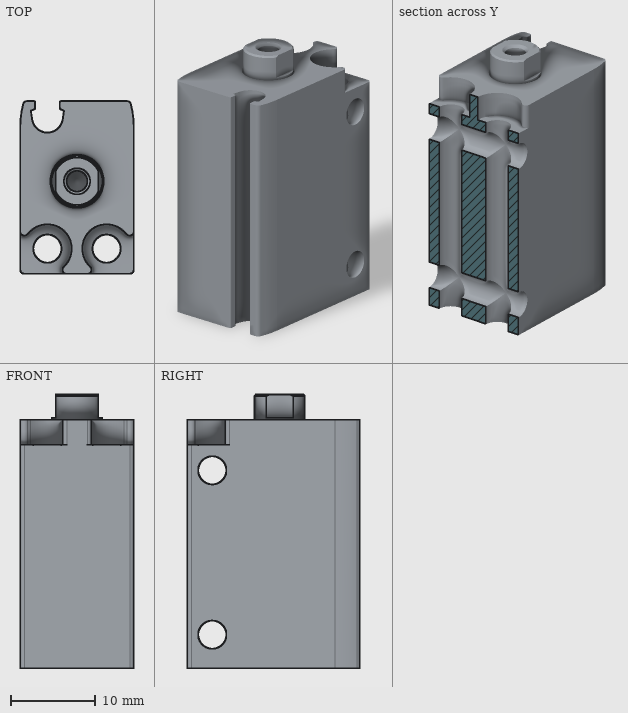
import cadquery as cq
import math

width = 13.5
total_height = 32.5
rod_stick_out = 3.0
housing_height = total_height - rod_stick_out
front_y = -11.0
back_y = 9.52
half_width = width / 2
corner_radius = 0.5
crown_radius = 10.0
crown_length = 3.0

hole_diameter = 3.3
hole_x = 3.5
hole_y = front_y + 3.0
cross_hole_heights = (4.0, housing_height - 6.0)
pocket_radius = 2.9
pocket_depth = 3.0

slot_x = -3.5
slot_radius = 1.82
slot_center_depth = 1.92
slot_mouth_half = 1.45
slot_lip_depth = 0.95
slot_shoulder_half = 1.95
slot_shoulder_depth = 1.17
slot_edge_radius = 0.15

rod_diameter = 6.0
rod_insertion = 10.0
rod_flat_width = 5.07
rod_flat_base = 0.23
rod_chamfer = 0.2
bore_chamfer = 0.15
thread_diameter = 2.47
thread_depth = 6.0
thread_chamfer = 0.32
drill_tip_angle = 118.0


def housing_block():
    """Block with rounded front corners and side walls curving in at the back."""
    crown_start = back_y - crown_length
    crown_inset = crown_radius - math.sqrt(crown_radius**2 - crown_length**2)
    half_length = crown_length / 2
    middle_inset = crown_radius - math.sqrt(crown_radius**2 - half_length**2)
    crown_middle = (half_width - middle_inset, crown_start + half_length)
    crown_end = (half_width - crown_inset, back_y)
    return (
        cq.Workplane("XY")
        .moveTo(-half_width, front_y)
        .lineTo(half_width, front_y)
        .lineTo(half_width, crown_start)
        .threePointArc(crown_middle, crown_end)
        .lineTo(-crown_end[0], back_y)
        .threePointArc((-crown_middle[0], crown_middle[1]), (-half_width, crown_start))
        .close()
        .extrude(housing_height)
        .edges("|Z and (<Y or >Y)")
        .fillet(corner_radius)
    )


def sensor_slot():
    """Round-bottomed slot with a narrower mouth between two lips."""
    center_y = back_y - slot_center_depth
    lip_y = back_y - slot_lip_depth
    shoulder_y = back_y - slot_shoulder_depth
    shoulder_rise = shoulder_y - center_y
    shoulder_distance = math.hypot(slot_shoulder_half, shoulder_rise)
    shoulder_angle = math.atan2(shoulder_rise, slot_shoulder_half)
    tangent_angle = shoulder_angle - math.acos(slot_radius / shoulder_distance)
    tangent_half = slot_radius * math.cos(tangent_angle)
    tangent_y = center_y + slot_radius * math.sin(tangent_angle)
    return (
        cq.Workplane("XY")
        .moveTo(slot_x - slot_mouth_half, back_y)
        .lineTo(slot_x - slot_mouth_half, lip_y)
        .lineTo(slot_x - slot_shoulder_half, shoulder_y)
        .lineTo(slot_x - tangent_half, tangent_y)
        .threePointArc((slot_x, center_y - slot_radius), (slot_x + tangent_half, tangent_y))
        .lineTo(slot_x + slot_shoulder_half, shoulder_y)
        .lineTo(slot_x + slot_mouth_half, lip_y)
        .lineTo(slot_x + slot_mouth_half, back_y)
        .close()
        .extrude(housing_height)
    )


def round_slot_lips(body):
    """Round the lip edges on both sides of the slot mouth."""
    for side in (-1, 1):
        for depth in (0, slot_lip_depth):
            edge_point = (slot_x + side * slot_mouth_half, back_y - depth, housing_height / 2)
            body = body.edges(cq.selectors.NearestToPointSelector(edge_point)).fillet(slot_edge_radius)
    return body


def corner_pocket():
    """Left front pocket: a round wall that leaves at 45 degrees and is rounded into both outer walls."""
    diagonal = math.sqrt(0.5)
    pocket_offset = pocket_radius * diagonal
    round_offset = corner_radius * diagonal
    side_tangent = (-hole_x - pocket_offset, hole_y + pocket_offset)
    nose_tangent = (-hole_x + pocket_offset, hole_y - pocket_offset)
    middle = (-hole_x + pocket_offset, hole_y + pocket_offset)

    side_x = -half_width + corner_radius
    side_y = side_tangent[1] - (side_tangent[0] - side_x - round_offset) + round_offset
    nose_y = front_y + corner_radius
    nose_x = nose_tangent[0] - (nose_tangent[1] - nose_y - round_offset) + round_offset

    side_middle = math.radians(247.5)
    nose_middle = math.radians(202.5)
    side_round_middle = (
        side_x + corner_radius * math.cos(side_middle),
        side_y + corner_radius * math.sin(side_middle),
    )
    nose_round_middle = (
        nose_x + corner_radius * math.cos(nose_middle),
        nose_y + corner_radius * math.sin(nose_middle),
    )
    return (
        cq.Workplane("XY", origin=(0, 0, housing_height - pocket_depth))
        .moveTo(-half_width, front_y)
        .lineTo(-half_width, side_y)
        .threePointArc(side_round_middle, (side_x + round_offset, side_y - round_offset))
        .lineTo(*side_tangent)
        .threePointArc(middle, nose_tangent)
        .lineTo(nose_x - round_offset, nose_y + round_offset)
        .threePointArc(nose_round_middle, (nose_x, front_y))
        .close()
        .extrude(pocket_depth)
    )


def upright_holes():
    return (
        cq.Workplane("XY")
        .pushPoints([(-hole_x, hole_y), (hole_x, hole_y)])
        .circle(hole_diameter / 2)
        .extrude(housing_height)
    )


def cross_holes():
    return (
        cq.Workplane("YZ", origin=(-half_width, 0, 0))
        .pushPoints([(hole_y, height) for height in cross_hole_heights])
        .circle(hole_diameter / 2)
        .extrude(width)
    )


def rod_bore():
    """Blind bore for the rod with a chamfered mouth."""
    bore_radius = rod_diameter / 2
    mouth = cq.Solid.makeCone(
        bore_radius,
        bore_radius + bore_chamfer,
        bore_chamfer,
        pnt=cq.Vector(0, 0, housing_height - bore_chamfer),
    )
    bore = (
        cq.Workplane("XY", origin=(0, 0, housing_height - rod_insertion))
        .circle(bore_radius)
        .extrude(rod_insertion)
    )
    return bore.union(cq.Workplane(mouth))


def make_housing():
    body = round_slot_lips(housing_block().cut(sensor_slot()))
    pocket = corner_pocket()
    body = body.cut(pocket).cut(pocket.mirror("YZ"))
    return body.cut(upright_holes()).cut(cross_holes()).cut(rod_bore())


def threaded_hole():
    """Blind hole from the rod's top with a chamfered mouth and a drill-point bottom."""
    radius = thread_diameter / 2
    bottom_z = total_height - thread_depth
    tip_z = bottom_z - radius / math.tan(math.radians(drill_tip_angle / 2))
    return (
        cq.Workplane("XZ")
        .moveTo(0, tip_z)
        .lineTo(radius, bottom_z)
        .lineTo(radius, total_height - thread_chamfer)
        .lineTo(radius + thread_chamfer, total_height)
        .lineTo(0, total_height)
        .close()
        .revolve(360, (0, 0, 0), (0, 1, 0))
    )


def make_rod():
    """Round rod with a chamfered top, two wrench flats and a threaded hole."""
    body = (
        cq.Workplane("XY", origin=(0, 0, housing_height - rod_insertion))
        .circle(rod_diameter / 2)
        .extrude(rod_insertion + rod_stick_out)
        .faces(">Z")
        .edges()
        .chamfer(rod_chamfer)
    )
    flat_base_z = housing_height + rod_flat_base
    flat_height = total_height - flat_base_z
    around_flats = (
        cq.Workplane("XY", origin=(0, 0, flat_base_z))
        .rect(2 * rod_diameter, 3 * rod_diameter)
        .rect(rod_flat_width, 2 * rod_diameter)
        .extrude(flat_height)
    )
    return body.cut(around_flats).cut(threaded_hole())


housing = make_housing()
rod = make_rod()
result = cq.Compound.makeCompound([housing.val(), rod.val()])